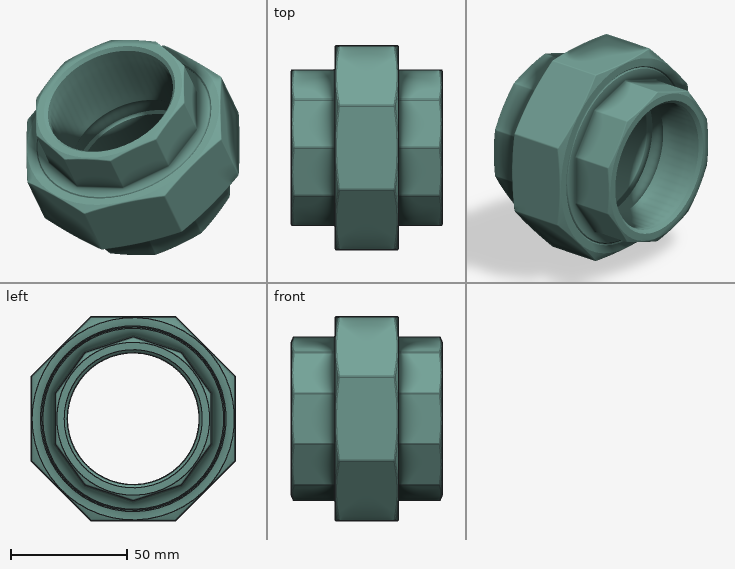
import cadquery as cq
import math

TOTAL_LENGTH = 65.0
NUT_LENGTH = 27.2
NUT_SIDES = 8
NUT_FLATS = 88.0
END_SIDES = 10
END_FLATS = 67.1
EDGE_RADIUS = 1.0

NUT_FACE_DIAMETER = 87.1
NUT_CORNER_ANGLE = 20.0
END_FACE_DIAMETER = 65.8
END_CORNER_ANGLE = 22.0
CORNER_RADIUS = 0.5

COLLAR_DIAMETER = 78.9
JOINT_CHAMFER = 0.5
ROOT_RADIUS = 0.5
THREADED_SETBACK = 0.3

BORE_DIAMETER = 56.7
MOUTH_DIAMETER = 59.5
MOUTH_LENGTH = 1.4
RECESS_DIAMETER = 61.0
RECESS_START_X = -11.35
TAILPIECE_INNER_X = -3.5
THREADED_INNER_X = -2.4
INNER_EDGE_RADIUS = 0.5

END_X = TOTAL_LENGTH / 2
NUT_FACE_X = NUT_LENGTH / 2


def disc(x_start, x_end, diameter):
    """Solid cylinder on the X axis."""
    return cq.Workplane("YZ", origin=(x_start, 0, 0)).circle(diameter / 2).extrude(x_end - x_start)


def cone(x_start, x_end, start_diameter, end_diameter):
    """Solid frustum on the X axis."""
    profile = [(x_start, 0), (x_start, start_diameter / 2), (x_end, end_diameter / 2), (x_end, 0)]
    return cq.Workplane("XY").polyline(profile).close().revolve(360, (0, 0, 0), (1, 0, 0))


def wrench_prism(x_start, x_end, sides, flats):
    """Regular prism along X with flats facing +Y and -Y and rounded long edges."""
    corner_diameter = flats / math.cos(math.pi / sides)
    half_side_turn = 180 / sides
    return (
        cq.Workplane("YZ", origin=(x_start, 0, 0))
        .polygon(sides, corner_diameter)
        .extrude(x_end - x_start)
        .rotate((0, 0, 0), (1, 0, 0), half_side_turn)
        .edges("|X")
        .fillet(EDGE_RADIUS)
    )


def turn_corners(prism, face_x, far_x, face_diameter, angle):
    """Keep only what lies inside a cone that widens from the end face at face_x to far_x."""
    length = abs(face_x - far_x)
    far_diameter = face_diameter + 2 * length / math.tan(math.radians(angle))
    return prism.intersect(cone(face_x, far_x, face_diameter, far_diameter))


def round_turned_corners(prism):
    """Round the edges between the turned cones and the flats, leaving the end circles sharp."""
    return prism.faces("%CONE").edges("not %CIRCLE").fillet(CORNER_RADIUS)


def make_nut():
    """Octagonal nut with a plain bore that is chamfered at both ends."""
    nut = wrench_prism(-NUT_FACE_X, NUT_FACE_X, NUT_SIDES, NUT_FLATS)
    for face_x in (-NUT_FACE_X, NUT_FACE_X):
        nut = turn_corners(nut, face_x, -face_x, NUT_FACE_DIAMETER, NUT_CORNER_ANGLE)
    nut = round_turned_corners(nut)

    nut = nut.cut(disc(-NUT_FACE_X, NUT_FACE_X, COLLAR_DIAMETER))
    mouth_diameter = COLLAR_DIAMETER + 2 * JOINT_CHAMFER
    for side in (-1, 1):
        face_x = side * NUT_FACE_X
        nut = nut.cut(cone(face_x, face_x - side * JOINT_CHAMFER, mouth_diameter, COLLAR_DIAMETER))
    return nut


def make_collar(side, face_x, inner_x):
    """Round collar with a chamfered edge at its outer face."""
    chamfer_x = face_x - side * JOINT_CHAMFER
    rim = cone(face_x, chamfer_x, COLLAR_DIAMETER - 2 * JOINT_CHAMFER, COLLAR_DIAMETER)
    return disc(inner_x, chamfer_x, COLLAR_DIAMETER).union(rim)


def root_region(face_x):
    """Box that picks the outline of the wrench end on the collar face."""
    half_depth = ROOT_RADIUS / 4
    reach = COLLAR_DIAMETER / 2 - 2 * JOINT_CHAMFER
    return cq.selectors.BoxSelector(
        (face_x - half_depth, -reach, -reach),
        (face_x + half_depth, reach, reach),
        boundingbox=True,
    )


def make_pipe_end(side, collar_face_x, inner_x):
    """Wrench end, collar and through bore; side is -1 or +1 along X."""
    end_x = side * END_X
    wrench_end = wrench_prism(collar_face_x, end_x, END_SIDES, END_FLATS)
    wrench_end = turn_corners(wrench_end, end_x, collar_face_x, END_FACE_DIAMETER, END_CORNER_ANGLE)
    wrench_end = round_turned_corners(wrench_end)

    body = make_collar(side, collar_face_x, inner_x).union(wrench_end)
    body = body.edges(root_region(collar_face_x)).fillet(ROOT_RADIUS)

    mouth = cone(end_x, end_x - side * MOUTH_LENGTH, MOUTH_DIAMETER, BORE_DIAMETER)
    return body.cut(disc(inner_x, end_x, BORE_DIAMETER)).cut(mouth)


def make_tailpiece():
    """Pipe end on -X, with a wider recess at its inner end."""
    body = make_pipe_end(-1, -NUT_FACE_X, TAILPIECE_INNER_X)
    return body.cut(disc(RECESS_START_X, TAILPIECE_INNER_X, RECESS_DIAMETER))


def make_threaded_body():
    """Pipe end on +X, with a rounded bore edge at its inner end."""
    body = make_pipe_end(1, NUT_FACE_X - THREADED_SETBACK, THREADED_INNER_X)
    bore_edge = cq.selectors.RadiusNthSelector(0)
    return body.faces("<X").edges(bore_edge).fillet(INNER_EDGE_RADIUS)


nut = make_nut().solids().val()
tailpiece = make_tailpiece().solids().val()
threaded_body = make_threaded_body().solids().val()

result = cq.Compound.makeCompound([nut, tailpiece, threaded_body])